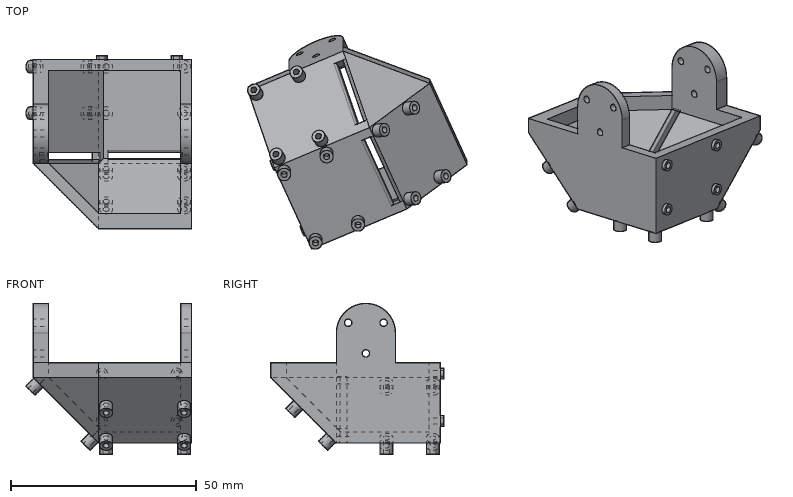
import cadquery as cq
import math

FLOOR_WIDTH = 25.0
FLOOR_DEPTH = 28.0
SLOPE_RUN = 17.7
RIM_HEIGHT = 4.0
WALL = 3.0

LUG_RADIUS = 8.0
LUG_HOLE_CIRCLE = 5.5
LUG_HOLE_DIAMETER = 1.9
LUG_HOLE_ANGLES = (30, 150, 270)

PEG_DIAMETER = 3.5
PEG_LENGTH = WALL
PEG_EDGE_GAP = 2.0
PEG_PITCH = 12.5
PEG_HOLE_DIAMETER = 1.65

BACK_PEG_DIAMETER = 3.0
BACK_PEG_LENGTH = 1.0
BACK_PEG_XS = (0.85, 21.0)
BACK_PEG_EDGE_GAP = 3.0

SLOT_LENGTH = 20.0
SLOT_WIDTH = 1.85
SLOT_CENTRE_Y = 1.9
SLOT_ROUND = 0.6

RIM_TOP = SLOPE_RUN + RIM_HEIGHT
COS_45 = math.sqrt(0.5)
SLOPE_LENGTH = SLOPE_RUN / COS_45
WALL_ALONG_AXIS = WALL / COS_45
LUG_CENTRE_Z = RIM_TOP + LUG_RADIUS

LEFT_SLOPE_NORMAL = (-1, 0, -1)
FRONT_SLOPE_NORMAL = (0, -1, -1)
CORNER_NORMAL = (-1, -1, -1)


def block(x_range, y_range, z_range):
    """Box between the given limits."""
    sizes = [high - low for low, high in (x_range, y_range, z_range)]
    corner = (x_range[0], y_range[0], z_range[0])
    return cq.Workplane("XY").box(*sizes, centered=False).translate(corner)


def faceted_hull(inset, right, back, bottom, top, lift):
    """Box with its left, front and left-front faces cut back and sloped; lift raises the slopes."""
    outer = SLOPE_RUN - inset
    hull = block((-outer, right), (-outer, back), (bottom, top))
    cutter_size = 4 * (FLOOR_WIDTH + FLOOR_DEPTH)
    cutting_faces = (
        ((-outer, 0, 0), (-1, -1, 0)),
        ((0, 0, lift), LEFT_SLOPE_NORMAL),
        ((0, 0, lift), FRONT_SLOPE_NORMAL),
        ((0, 0, lift), CORNER_NORMAL),
    )
    for origin, normal in cutting_faces:
        face = cq.Workplane(cq.Plane(origin=origin, normal=normal))
        hull = hull.cut(face.rect(cutter_size, cutter_size).extrude(cutter_size))
    return hull


def lug(x_start, thickness):
    """Round-topped ear standing on the rim, drilled on a hole circle."""
    plane = cq.Plane(origin=(x_start, LUG_RADIUS, LUG_CENTRE_Z), xDir=(0, 1, 0), normal=(1, 0, 0))
    ear = (
        cq.Workplane(plane)
        .moveTo(-LUG_RADIUS, 0)
        .threePointArc((0, LUG_RADIUS), (LUG_RADIUS, 0))
        .lineTo(LUG_RADIUS, -LUG_RADIUS)
        .lineTo(-LUG_RADIUS, -LUG_RADIUS)
        .close()
        .extrude(thickness)
    )
    angles = [math.radians(angle) for angle in LUG_HOLE_ANGLES]
    centres = [(LUG_HOLE_CIRCLE * math.cos(a), LUG_HOLE_CIRCLE * math.sin(a)) for a in angles]
    holes = cq.Workplane(plane).pushPoints(centres).circle(LUG_HOLE_DIAMETER / 2).extrude(thickness)
    return ear.cut(holes)


def rod(point, direction, diameter, length):
    """Cylinder starting at a point and running along a direction."""
    plane = cq.Plane(origin=point, normal=direction)
    return cq.Workplane(plane).circle(diameter / 2).extrude(length)


def hollow_peg(point, direction):
    """Peg standing on a face, with a hole as deep as the peg is long."""
    peg = rod(point, direction, PEG_DIAMETER, PEG_LENGTH)
    return peg.cut(rod(point, direction, PEG_HOLE_DIAMETER, PEG_LENGTH))


def slot_cutter(outer_centre, length_direction, inner_rounds):
    """Slot through one wall with rounded outer edges.

    In the slot's cross-section the wall runs from its outer face at 0 to its inner face at WALL.
    inner_rounds names the sides (-1 for -Y, 1 for +Y) whose inner edge is rounded too.
    """
    plane = cq.Plane(origin=outer_centre, xDir=(0, 1, 0), normal=length_direction)
    half = SLOT_WIDTH / 2
    centre_section = cq.Workplane(plane).center(0, WALL / 2).rect(SLOT_WIDTH, WALL)
    cutter = centre_section.extrude(SLOT_LENGTH / 2, both=True)
    rounded_edges = [(side, 0, 1) for side in (-1, 1)]
    rounded_edges += [(side, WALL, -1) for side in inner_rounds]
    for side, face, inward in rounded_edges:
        wall_side = side * half
        outer_side = side * (half + SLOT_ROUND)
        arc_end = face + inward * SLOT_ROUND
        reach = SLOT_ROUND * COS_45
        arc_middle = (outer_side - side * reach, arc_end - inward * reach)
        flare = (
            cq.Workplane(plane)
            .moveTo(wall_side, face)
            .lineTo(outer_side, face)
            .threePointArc(arc_middle, (wall_side, arc_end))
            .close()
            .extrude(SLOT_LENGTH / 2, both=True)
        )
        cutter = cutter.union(flare)
    return cutter


shell = faceted_hull(0, FLOOR_WIDTH, FLOOR_DEPTH, 0, RIM_TOP, 0)
cavity = faceted_hull(
    WALL_ALONG_AXIS, FLOOR_WIDTH - WALL, FLOOR_DEPTH - WALL, WALL, RIM_TOP, WALL_ALONG_AXIS
)
body = shell.cut(cavity)

left_slot_centre = (-SLOPE_RUN / 2, SLOT_CENTRE_Y, SLOPE_RUN / 2)
body = body.cut(slot_cutter(left_slot_centre, (1, 0, -1), (-1,)))
floor_slot_centre = (FLOOR_WIDTH / 2, SLOT_CENTRE_Y, 0)
body = body.cut(slot_cutter(floor_slot_centre, (1, 0, 0), (1,)))

body = body.union(lug(-SLOPE_RUN, WALL_ALONG_AXIS))
body = body.union(lug(FLOOR_WIDTH - WALL, WALL))

peg_ys = [FLOOR_DEPTH - PEG_EDGE_GAP - row * PEG_PITCH for row in (0, 1)]
for y in peg_ys:
    for x in (PEG_EDGE_GAP, FLOOR_WIDTH - PEG_EDGE_GAP):
        body = body.union(hollow_peg((x, y, 0), (0, 0, -1)))
    for distance in (PEG_EDGE_GAP, SLOPE_LENGTH - PEG_EDGE_GAP):
        rise = distance * COS_45
        body = body.union(hollow_peg((-rise, y, rise), LEFT_SLOPE_NORMAL))
for distance in (PEG_EDGE_GAP, PEG_EDGE_GAP + PEG_PITCH):
    rise = distance * COS_45
    for x in (PEG_EDGE_GAP, FLOOR_WIDTH - PEG_EDGE_GAP):
        body = body.union(hollow_peg((x, -rise, rise), FRONT_SLOPE_NORMAL))

for x in BACK_PEG_XS:
    for z in (WALL + BACK_PEG_EDGE_GAP, RIM_TOP - BACK_PEG_EDGE_GAP):
        peg = rod((x, FLOOR_DEPTH, z), (0, 1, 0), BACK_PEG_DIAMETER, BACK_PEG_LENGTH)
        hole = rod((x, FLOOR_DEPTH - WALL, z), (0, 1, 0), PEG_HOLE_DIAMETER, WALL + BACK_PEG_LENGTH)
        body = body.union(peg).cut(hole)

result = body